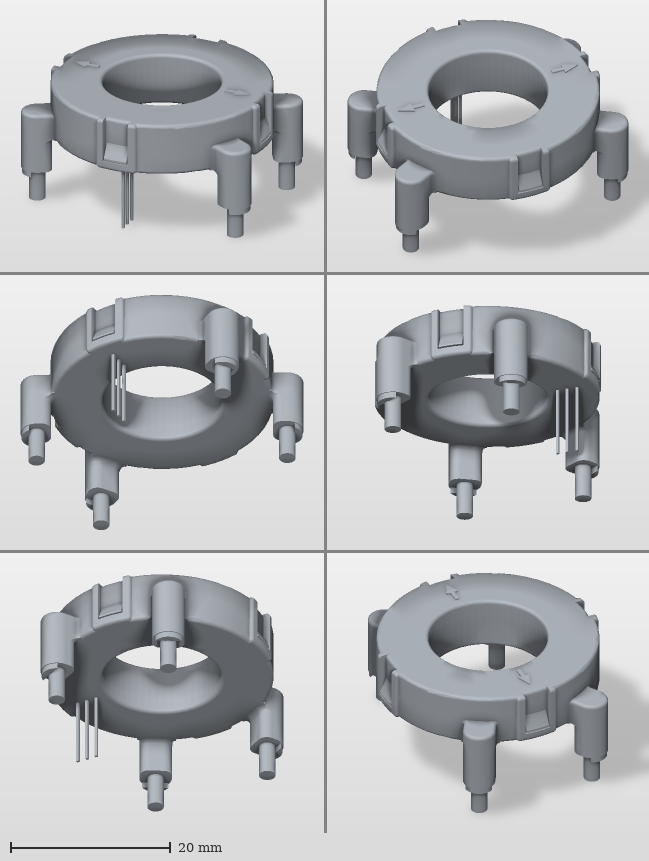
import cadquery as cq
import math

length_x = 31.28
base_z = 8.75
shelf_z = 12.15
top_z = 15.5
arrow_height = 0.2

ring_radius = 13.98
hole_radius = 7.48
edge_round = 0.47

merge_radius = 12.67

pick_margin = 0.03

tab_radius = 14.4
tab_half_width = 2.72
tab_corner_round = 0.38
tab_root_round = 0.15
tab_angles = [0, 90, 180, 270]
window_half_width = 1.72
window_sill_z = 9.9
window_floor_radius = 13.48
latch_half_width = 1.53
latch_bottom_z = 10.1
latch_crest_z = 10.32

foot_angle = 30
foot_radius = 2.03
foot_bottom_z = 4.3
foot_corner_round = 1.15
foot_blend = 0.63
foot_root_round = 0.5
foot_distance = (length_x / 2 - foot_radius) / math.cos(math.radians(foot_angle))
foot_inner = 13.92
foot_angles = [foot_angle, 180 - foot_angle, 180 + foot_angle, -foot_angle]
step_radius = 1.9
step_start = step_radius / 2
step_z = 3.55
post_radius = 1.03

pin_width = 0.35
pin_spacing = 1.28
pin_middle_y = -10.55
pin_root = 0.3

arrow_tail = 8.63
arrow_neck = 10.17
arrow_tip = 12.15
arrow_shaft_half = 0.265
arrow_head_half = 0.78


def cylinder(radius, low, high):
    return cq.Workplane("XY").workplane(offset=low).circle(radius).extrude(high - low)


def block(x_low, x_high, half_width, low, high):
    """Box that is symmetric about the X axis."""
    size = (x_high - x_low, 2 * half_width, high - low)
    return cq.Workplane("XY").box(*size, centered=False).translate((x_low, -half_width, low))


def turned(shape, angle):
    return shape.rotate((0, 0, 0), (0, 0, 1), angle)


def flare(half_width, root_round, low, high):
    """Root of an arm along +X: flat sides that curve out tangent to the ring."""
    arc_y = half_width + root_round
    arc_x = math.sqrt((ring_radius + root_round) ** 2 - arc_y ** 2)
    arc_angle = math.atan2(arc_y, arc_x)
    meet_x = ring_radius * math.cos(arc_angle)
    meet_y = ring_radius * math.sin(arc_angle)
    middle_angle = (1.5 * math.pi + arc_angle + math.pi) / 2
    middle_x = arc_x + root_round * math.cos(middle_angle)
    middle_y = arc_y + root_round * math.sin(middle_angle)
    return (
        cq.Workplane("XY")
        .workplane(offset=low)
        .moveTo(merge_radius, -meet_y)
        .lineTo(meet_x, -meet_y)
        .threePointArc((middle_x, -middle_y), (arc_x, -half_width))
        .lineTo(arc_x, half_width)
        .threePointArc((middle_x, middle_y), (meet_x, meet_y))
        .lineTo(merge_radius, meet_y)
        .close()
        .extrude(high - low)
    )


def tab_bar():
    """Round-ended bar that forms two opposite tabs, rounded on every outer edge."""
    bar = block(-length_x, length_x, tab_half_width, base_z, top_z)
    bar = bar.intersect(cylinder(tab_radius, base_z, top_z))
    return bar.edges("|Z").fillet(tab_corner_round).faces("<Z or >Z").edges().fillet(edge_round)


def bore():
    """Space of the through hole, widening in a quarter round at each end."""
    mouth_radius = hole_radius + edge_round
    return (
        cq.Workplane("XZ")
        .moveTo(0, base_z)
        .lineTo(mouth_radius, base_z)
        .radiusArc((hole_radius, base_z + edge_round), edge_round)
        .lineTo(hole_radius, top_z - edge_round)
        .radiusArc((mouth_radius, top_z), edge_round)
        .lineTo(0, top_z)
        .close()
        .revolve(360, (0, 0, 0), (0, 1, 0))
    )


def housing():
    """Ring with its four tabs and the through hole, rounded at both rims."""
    ring = cylinder(ring_radius, base_z, top_z).faces("<Z or >Z").edges().fillet(edge_round)
    body = ring.union(tab_bar()).union(turned(tab_bar(), 90))
    tab_root = flare(tab_half_width, tab_root_round, base_z + edge_round, shelf_z)
    for angle in tab_angles:
        body = body.union(turned(tab_root, angle))
    return body.cut(bore())


def cut_window(body, angle):
    """Open-topped window in a tab, backed by the round wall of the ring."""
    backing = cylinder(window_floor_radius, window_sill_z, top_z).faces(">Z").edges().fillet(edge_round)
    window = block(merge_radius, length_x, window_half_width, window_sill_z, top_z).cut(backing)
    return body.cut(turned(window, angle))


def latch(angle):
    """Snap wedge that slopes out from the window floor to the tab surface."""
    wedge = (
        cq.Workplane("XZ")
        .moveTo(merge_radius, latch_bottom_z)
        .lineTo(tab_radius, latch_bottom_z)
        .lineTo(tab_radius, latch_crest_z)
        .lineTo(window_floor_radius, shelf_z)
        .lineTo(merge_radius, shelf_z)
        .close()
        .revolve(360, (0, 0, 0), (0, 1, 0))
    )
    strip = block(merge_radius, length_x, latch_half_width, latch_bottom_z, shelf_z)
    return turned(wedge.intersect(strip), angle)


def foot_undercut():
    """Space under the foot root, wrapped around the leg and rounded where it meets both."""
    leg_flank = foot_inner + foot_corner_round
    space = block(merge_radius - foot_blend, leg_flank, 2 * foot_radius, foot_bottom_z, base_z)
    leg = block(foot_inner, foot_distance, foot_radius, foot_bottom_z, base_z)
    space = space.cut(leg.edges("|Z and <X").fillet(foot_corner_round))
    seam = cq.selectors.BoxSelector(
        (foot_inner - pick_margin, -foot_radius - pick_margin, base_z - pick_margin),
        (leg_flank - pick_margin, foot_radius + pick_margin, base_z + pick_margin),
    )
    return space.edges(seam).fillet(foot_blend)


def foot():
    """Foot along +X: leg with a flared root, and under it a step on the outer side and a post."""
    body = flare(foot_radius, foot_root_round, foot_bottom_z, shelf_z)
    body = body.union(block(foot_inner, foot_distance, foot_radius, foot_bottom_z, shelf_z))
    body = body.union(cylinder(foot_radius, foot_bottom_z, shelf_z).translate((foot_distance, 0, 0)))
    rim_start = (merge_radius + ring_radius) / 2
    rim = cq.selectors.BoxSelector(
        (rim_start, -length_x, shelf_z - pick_margin),
        (length_x, length_x, shelf_z + pick_margin),
    )
    body = body.edges(rim).fillet(edge_round)
    body = body.cut(foot_undercut())

    step = cylinder(step_radius, step_z, foot_bottom_z)
    step = step.intersect(block(step_start, length_x, length_x, step_z, foot_bottom_z))
    post = cylinder(post_radius, 0, foot_bottom_z)
    return body.union(step.union(post).translate((foot_distance, 0, 0)))


def signal_pin(y):
    """Square pin that runs from the bottom level up into the ring."""
    return cq.Workplane("XY").center(0, y).rect(pin_width, pin_width).extrude(base_z + pin_root)


def arrow():
    """Raised arrow on the top face, pointing outward along +X."""
    return (
        cq.Workplane("XY")
        .workplane(offset=top_z)
        .moveTo(arrow_tail, -arrow_shaft_half)
        .lineTo(arrow_neck, -arrow_shaft_half)
        .lineTo(arrow_neck, -arrow_head_half)
        .lineTo(arrow_tip, 0)
        .lineTo(arrow_neck, arrow_head_half)
        .lineTo(arrow_neck, arrow_shaft_half)
        .lineTo(arrow_tail, arrow_shaft_half)
        .close()
        .extrude(arrow_height)
    )


result = housing()
for angle in tab_angles:
    result = cut_window(result, angle).union(latch(angle))
for angle in foot_angles:
    result = result.union(turned(foot(), angle))
for place in (-1, 0, 1):
    result = result.union(signal_pin(pin_middle_y + place * pin_spacing))
for angle in (0, 180):
    result = result.union(turned(arrow(), angle))